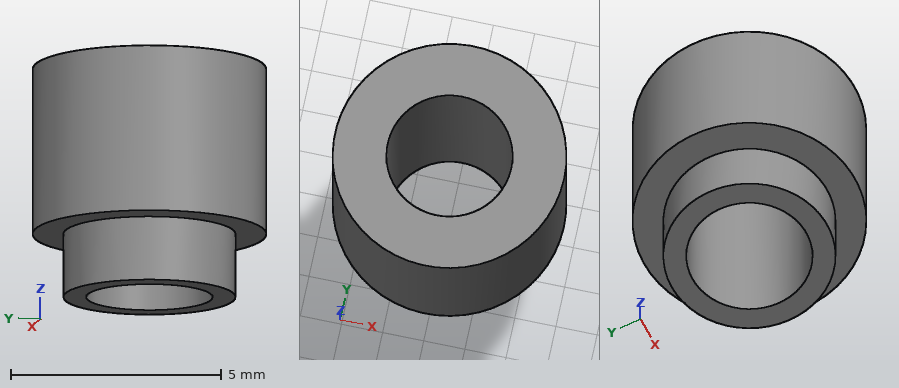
import cadquery as cq

body_diameter = 5.56
spigot_diameter = 4.09
bore_diameter = 3.0
total_height = 5.53
body_height = 4.005
spigot_height = total_height - body_height

spigot = cq.Workplane("XY").circle(spigot_diameter / 2).extrude(spigot_height)

stepped_bushing = spigot.faces(">Z").workplane().circle(body_diameter / 2).extrude(body_height)

bore = cq.Workplane("XY").circle(bore_diameter / 2).extrude(total_height)

result = stepped_bushing.cut(bore)